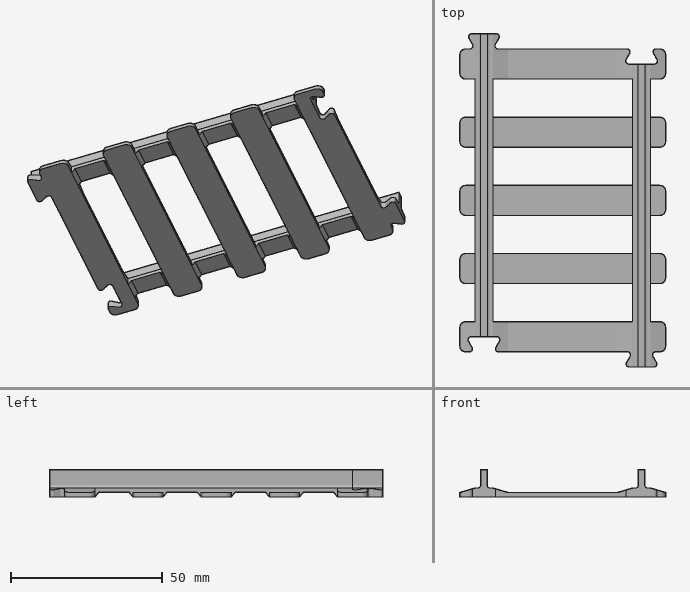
import cadquery as cq
import math

HALF_TURN = 180

TIE_COUNT = 5
TIE_LENGTH = 68.0
TIE_WIDTH = 10.0
TIE_PITCH = 22.5
TIE_THICKNESS = 1.5
TIE_CORNER_RADIUS = 2.0
END_TIE_Y = TIE_PITCH * (TIE_COUNT - 1) / 2

RAIL_X = 26.0
RAIL_LENGTH = 100.0
RAIL_SHIFT = 5.0
RAIL_HEIGHT = 9.0
BASE_HALF_WIDTH = 3.0
BASE_TOP = 3.0
WEB_HALF_WIDTH = 1.1
WEB_FILLET_RADIUS = 0.9
ARCH_SLOPE_RUN = 1.2
ARCH_LENGTH = TIE_PITCH - TIE_WIDTH

PAD_HALF_LENGTH = TIE_LENGTH / 2 - RAIL_X

COUPLING_DEPTH = 5.0
COUPLING_Y = END_TIE_Y + TIE_WIDTH / 2
TONGUE_HALF_WIDTH = 5.1
SOCKET_CLEARANCE = 0.1
SOCKET_HALF_WIDTH = TONGUE_HALF_WIDTH + SOCKET_CLEARANCE
COUPLING_RADIUS = 1.0
FLANK_ANGLE = math.radians(30)


def tie(y):
    """Flat cross tie with rounded corners, centred at y."""
    return (
        cq.Workplane("XY")
        .center(0, y)
        .rect(TIE_LENGTH, TIE_WIDTH)
        .extrude(TIE_THICKNESS)
        .edges("|Z")
        .fillet(TIE_CORNER_RADIUS)
    )


def end_bridge(y):
    """Plain middle stretch of an end tie, between its two pads."""
    length = 2 * (RAIL_X - PAD_HALF_LENGTH)
    return cq.Workplane("XY").center(0, y).rect(length, TIE_WIDTH).extrude(TIE_THICKNESS)


def ramped_block(y_start, y_length):
    """Block along the left rail, level under the rail base and sloping down on both sides."""
    return (
        cq.Workplane("XZ", origin=(-RAIL_X, y_start, 0))
        .moveTo(-PAD_HALF_LENGTH, 0)
        .lineTo(-PAD_HALF_LENGTH, TIE_THICKNESS)
        .lineTo(-BASE_HALF_WIDTH, BASE_TOP)
        .lineTo(BASE_HALF_WIDTH, BASE_TOP)
        .lineTo(PAD_HALF_LENGTH, TIE_THICKNESS)
        .lineTo(PAD_HALF_LENGTH, 0)
        .close()
        .extrude(-y_length)
    )


def end_pad(y):
    """Left end of an end tie, rounded at its two outer corners."""
    pad = ramped_block(y - TIE_WIDTH / 2, TIE_WIDTH)
    return pad.edges("|Z and <X").fillet(TIE_CORNER_RADIUS)


def dovetail(tip_y, half_width):
    """Dovetail prism on the left rail axis, from its wide tip at tip_y to its root towards -Y.

    Each flank is an S: an arc round the tip corner, a straight slope, and an opposite arc
    that narrows to the waist and flares out again at the root.
    """
    radius = COUPLING_RADIUS
    root_y = tip_y - COUPLING_DEPTH
    arc_depth = radius * (1 + math.sin(FLANK_ANGLE))
    arc_inset = radius * (1 - math.cos(FLANK_ANGLE))
    slope_inset = (COUPLING_DEPTH - 2 * arc_depth) * math.tan(FLANK_ANGLE)
    waist = half_width - 2 * arc_inset - slope_inset

    tip_flat = half_width - radius
    slope_top = (half_width - arc_inset, tip_y - arc_depth)
    slope_bottom = (waist + arc_inset, root_y + arc_depth)
    root_flare = waist + radius
    return (
        cq.Workplane("XY", origin=(-RAIL_X, 0, 0))
        .moveTo(-tip_flat, tip_y)
        .lineTo(tip_flat, tip_y)
        .threePointArc((half_width, tip_y - radius), slope_top)
        .lineTo(*slope_bottom)
        .threePointArc((waist, root_y + radius), (root_flare, root_y))
        .lineTo(-root_flare, root_y)
        .threePointArc((-waist, root_y + radius), (-slope_bottom[0], slope_bottom[1]))
        .lineTo(-slope_top[0], slope_top[1])
        .threePointArc((-half_width, tip_y - radius), (-tip_flat, tip_y))
        .close()
        .extrude(BASE_TOP)
    )


def end_with_tongue():
    """Left end of the +Y end tie, with the dovetail tongue standing out beyond it."""
    tongue_blank = ramped_block(COUPLING_Y, COUPLING_DEPTH)
    tongue = tongue_blank.intersect(dovetail(COUPLING_Y + COUPLING_DEPTH, TONGUE_HALF_WIDTH))
    return end_pad(END_TIE_Y).union(tongue)


def end_with_socket():
    """Left end of the -Y end tie, with the dovetail socket cut through it."""
    return end_pad(-END_TIE_Y).cut(dovetail(COUPLING_DEPTH - COUPLING_Y, SOCKET_HALF_WIDTH))


def arch(y):
    """Cutter for the clear space under the left rail between two ties, centred at y."""
    foot = ARCH_LENGTH / 2
    crown = foot - ARCH_SLOPE_RUN
    return (
        cq.Workplane("YZ", origin=(-RAIL_X - BASE_HALF_WIDTH, y, 0))
        .moveTo(-foot, 0)
        .lineTo(-crown, TIE_THICKNESS)
        .lineTo(crown, TIE_THICKNESS)
        .lineTo(foot, 0)
        .close()
        .extrude(2 * BASE_HALF_WIDTH)
    )


def rail():
    """Left rail: upright web filleted into a base that is arched between the ties."""
    fillet_top = BASE_TOP + WEB_FILLET_RADIUS
    fillet_foot = WEB_HALF_WIDTH + WEB_FILLET_RADIUS
    half_rail = (
        cq.Workplane("XZ", origin=(0, RAIL_SHIFT - RAIL_LENGTH / 2, 0))
        .lineTo(BASE_HALF_WIDTH, 0)
        .lineTo(BASE_HALF_WIDTH, BASE_TOP)
        .lineTo(fillet_foot, BASE_TOP)
        .radiusArc((WEB_HALF_WIDTH, fillet_top), WEB_FILLET_RADIUS)
        .lineTo(WEB_HALF_WIDTH, RAIL_HEIGHT)
        .lineTo(0, RAIL_HEIGHT)
        .close()
        .extrude(-RAIL_LENGTH)
    )
    body = half_rail.union(half_rail.mirror("YZ")).translate((-RAIL_X, 0, 0))
    for index in range(TIE_COUNT - 1):
        body = body.cut(arch(-END_TIE_Y + TIE_PITCH * (index + 0.5)))
    return body


def with_half_turn(body):
    """Join a body with its copy turned half way round the Z axis."""
    return body.union(body.rotate((0, 0, 0), (0, 0, 1), HALF_TURN))


left_side = rail().union(end_with_tongue()).union(end_with_socket())
track = with_half_turn(left_side.union(end_bridge(END_TIE_Y)))
for tie_index in range(1, TIE_COUNT - 1):
    track = track.union(tie(-END_TIE_Y + TIE_PITCH * tie_index))

result = track